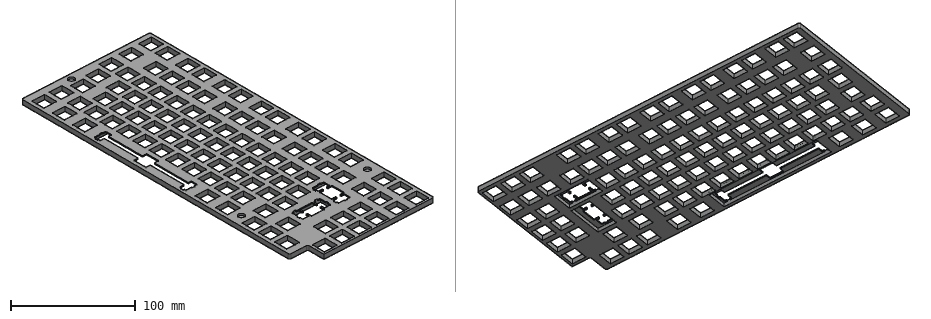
import cadquery as cq
import math

PLATE_LENGTH = 331.42
PLATE_WIDTH = 141.5
PLATE_THICKNESS = 5.0
CORNER_RADIUS = 1.5
NOTCH_LENGTH = 18.7
NOTCH_WIDTH = 20.2

KEY_UNIT = 19.05
SWITCH_SIZE = 14.0
LEFT_MARGIN = 5.5
BOTTOM_MARGIN = 3.96
FIRST_KEY_X = -PLATE_LENGTH / 2 + LEFT_MARGIN + SWITCH_SIZE / 2
FIRST_ROW_Y = -PLATE_WIDTH / 2 + BOTTOM_MARGIN + SWITCH_SIZE / 2


def key_run(first, count):
    """Positions, in key units, of neighbouring single-unit keys."""
    return [first + step for step in range(count)]


KEY_ROWS = [
    (0.0, [0.125, 1.375, 2.625, 10.125, 11.375] + key_run(13.0, 3)),
    (1.0, [0.125] + key_run(1.25, 11) + [12.625, 14.0, 16.25]),
    (2.0, [0.375] + key_run(1.75, 12) + key_run(15.25, 2)),
    (3.0, [0.25] + key_run(1.5, 12) + key_run(15.25, 2)),
    (4.0, key_run(0.0, 13) + key_run(15.25, 2)),
    (5.15, [0.0] + key_run(1.5, 4) + key_run(5.75, 4) + key_run(10.0, 4) + key_run(14.25, 3)),
    (
        6.3,
        key_run(0.0, 2) + key_run(2.25, 2) + key_run(4.5, 2) + key_run(6.75, 2)
        + key_run(9.0, 2) + key_run(11.25, 2) + key_run(14.25, 3),
    ),
]

SHORT_STABILISER_OFFSET = 11.938
SPACEBAR_STABILISER_OFFSET = 50.0
STABILISED_KEYS = [
    (6.375, 0.0, SPACEBAR_STABILISER_OFFSET, 0),
    (13.875, 2.5, SHORT_STABILISER_OFFSET, -90),
    (13.5, 4.0, SHORT_STABILISER_OFFSET, 0),
]

STABILISER_WIDTH = 6.75
STABILISER_TOP = 5.6
STABILISER_BOTTOM = -6.77
FOOT_WIDTH = 3.0
FOOT_BOTTOM = -7.97
CLIP_DEPTH = 0.8
CLIP_TOP = 2.3
CLIP_BOTTOM = -0.5
WIRE_SLOT_HALF_WIDTH = 2.3

SCREW_DIAMETER = 6.4
SCREW_BORE_DEPTH = 2.0
DRILL_POINT_ANGLE = 118.0
SCREW_HOLES = [(-0.33, 2.0), (12.2, 0.0), (13.25, 6.3)]

CLIP_PLATE_THICKNESS = 1.2
RELIEF_END_MARGIN = 1.0
RELIEF_TOP_MARGIN = 4.0


def grid_point(column, row):
    return (FIRST_KEY_X + column * KEY_UNIT, FIRST_ROW_Y + row * KEY_UNIT)


def block(left, bottom, right, top):
    """Full-thickness cutter between two opposite corners."""
    return cq.Workplane("XY").box(right - left, top - bottom, PLATE_THICKNESS, centered=False).translate(
        (left, bottom, 0)
    )


def plate():
    right = PLATE_LENGTH / 2
    front = -PLATE_WIDTH / 2
    blank = cq.Workplane("XY").box(
        PLATE_LENGTH, PLATE_WIDTH, PLATE_THICKNESS, centered=(True, True, False)
    )
    notch = block(right - NOTCH_LENGTH, front, right, front + NOTCH_WIDTH)
    outline = blank.cut(notch)
    return outline.edges("|Z").edges("(not >X) or >Y").fillet(CORNER_RADIUS)


def switch_openings():
    points = [grid_point(column, row) for row, columns in KEY_ROWS for column in columns]
    return cq.Workplane("XY").pushPoints(points).rect(SWITCH_SIZE, SWITCH_SIZE).extrude(PLATE_THICKNESS)


def clip_reach(offset):
    """Distance from the switch centre to the outer end of a stabiliser's side clip."""
    return offset + STABILISER_WIDTH / 2 + CLIP_DEPTH


def place(cutter, column, row, rotation):
    x, y = grid_point(column, row)
    return cutter.rotate((0, 0, 0), (0, 0, 1), rotation).translate((x, y, 0))


def stabilised_opening(column, row, offset, rotation):
    """Switch opening with a stabiliser opening on each side, joined by a wire slot."""
    half_switch = SWITCH_SIZE / 2
    half_width = STABILISER_WIDTH / 2
    outer = clip_reach(offset)
    opening = block(-half_switch, -half_switch, half_switch, half_switch)
    opening = opening.union(block(-offset, -WIRE_SLOT_HALF_WIDTH, offset, WIRE_SLOT_HALF_WIDTH))
    opening = opening.union(block(-outer, CLIP_BOTTOM, outer, CLIP_TOP))
    for x in (-offset, offset):
        opening = opening.union(block(x - half_width, STABILISER_BOTTOM, x + half_width, STABILISER_TOP))
        opening = opening.union(block(x - FOOT_WIDTH / 2, FOOT_BOTTOM, x + FOOT_WIDTH / 2, 0))
    return place(opening, column, row, rotation)


def stabiliser_relief(column, row, offset, rotation):
    """Pocket in the underside that thins the plate around a stabilised opening."""
    half_length = clip_reach(offset) + RELIEF_END_MARGIN
    relief = block(-half_length, FOOT_BOTTOM, half_length, SWITCH_SIZE / 2 + RELIEF_TOP_MARGIN)
    return place(relief.translate((0, 0, -CLIP_PLATE_THICKNESS)), column, row, rotation)


def screw_hole(column, row):
    """Drilled hole: a straight bore ending in a conical drill point."""
    x, y = grid_point(column, row)
    radius = SCREW_DIAMETER / 2
    point_depth = radius / math.tan(math.radians(DRILL_POINT_ANGLE / 2))
    bore_bottom = PLATE_THICKNESS - SCREW_BORE_DEPTH
    profile = (
        cq.Workplane("XZ")
        .moveTo(0, PLATE_THICKNESS)
        .lineTo(radius, PLATE_THICKNESS)
        .lineTo(radius, bore_bottom)
        .lineTo(0, bore_bottom - point_depth)
        .close()
    )
    return profile.revolve(360, (0, 0), (0, 1)).translate((x, y, 0))


result = plate().cut(switch_openings())
for stabilised_key in STABILISED_KEYS:
    result = result.cut(stabilised_opening(*stabilised_key))
    result = result.cut(stabiliser_relief(*stabilised_key))
for screw_position in SCREW_HOLES:
    result = result.cut(screw_hole(*screw_position))